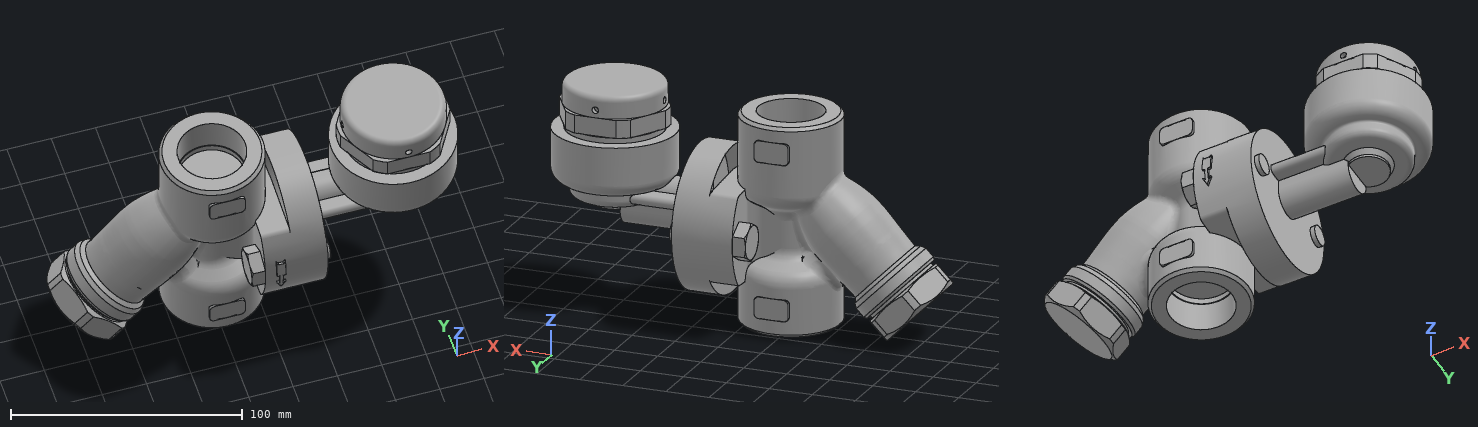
import cadquery as cq
import math

PIPE_R = 46.0 / 2
PIPE_TOP = 53.2
PIPE_BOTTOM = -43.1
PIPE_CHAMFER = 1.5
NECK_R = 11.4
NECK_HALF_HEIGHT = 6.5
SHOULDER_END = 20.9
SHOULDER_ANGLE = math.radians(30)
NECK_BLEND_R = 6.0
SHOULDER_R = 7.5

SOCKET_R = 15.0
SOCKET_DEPTH = 15.0
SEAT_R = 14.7
SEAT_DEPTH = 18.0

PAD_LENGTH = 16.0
PAD_HEIGHT = 9.9
PAD_CORNER_R = 2.2
PAD_FACE = 23.1
PAD_LEVELS = (41.3, -30.5)

FLANGE_R = 67.0 / 2
PLATE_FACE = 14.0
FLANGE_FACE = 27.0
FLANGE_BACK = 42.2
PLATE_RIDGE = 22.5
PLATE_EDGE_HEIGHT = 20.5
PLATE_EDGE_R = 3.0
WEB_BLEND_R = 5.1
WEB_HALF_HEIGHT = 16.5

BOLT_OFFSET = 25.5
BOLT_FLATS = 15.2
BOLT_HEAD_FACE = 7.9
BOLT_CHAMFER_WIDTH = 1.5
BOLT_CHAMFER_DEPTH = 0.7
BOLT_R = 9.5 / 2
BOLT_END = 44.4

ARROW_X = 20.9
ARROW_RELIEF = 1.1
ARROW_RELIEF_R = FLANGE_R + ARROW_RELIEF
ARROW_HALF_WIDTH = 2.0
ARROW_NOTCH_HALF_WIDTH = 1.1
ARROW_STEM_HALF_WIDTH = 0.7
ARROW_TOP = 8.3
ARROW_NOTCH_DEPTH = 1.0
ARROW_TAIL_END = 0.5
ARROW_STEM_TOP = 0.0
ARROW_STEM_BOTTOM = -5.1
ARROW_BARB = -4.4
ARROW_TIP = -8.3

BRANCH_Z = 29.0
BRANCH_PROFILE = cq.Plane(origin=(0, 0, BRANCH_Z), xDir=(-1, 0, 1), normal=(0, -1, 0))
BRANCH_SECTION = cq.Plane(origin=(0, 0, BRANCH_Z), xDir=(-1, 0, 1), normal=(-1, 0, -1))
BARREL_START = 14.7
BARREL_START_R = 12.1
BARREL_START_TANGENT = (0.45, 1)
BARREL_WIDEST = 36.1
BARREL_R = 36.0 / 2
BARREL_END = 52.6
BARREL_END_TANGENT = (-0.05, 1)
BRANCH_R = 35.0 / 2
BRANCH_NECK_R = 17.0
JOINT_R = 3.3

COLLAR_R = 40.0 / 2
COLLAR_START = 63.6
COLLAR_END = 72.0
COLLAR_STEP_LENGTH = 1.7
COLLAR_LEAD_WIDTH = 1.1
COLLAR_LEAD_LENGTH = 2.2
COLLAR_CHAMFER_WIDTH = 0.7
COLLAR_CHAMFER_LENGTH = 1.3

PLUG_NECK_R = 17.5
PLUG_FLATS = 38.1
PLUG_CORNER_R = 21.0
PLUG_FACE_R = 18.5
PLUG_START = 73.5
PLUG_END = 85.1
PLUG_BACK_CHAMFER = 1.3
PLUG_FRONT_CHAMFER = 2.0

TUBE_R = 8.3
TUBE_RISE = 7.3
TUBE_END = 76.3
CHANNEL_HALF_WIDTH = 15.2
CHANNEL_BOTTOM = 5.3
CHANNEL_TOP = 10.5

TRAP_X = 81.8
CUP_R = 56.0 / 2
CUP_TOP = 34.8
CUP_BOTTOM = 11.2
CUP_FILLET = 5.9
STEP_R = 40.0 / 2
STEP_BOTTOM = 3.9
STEP_FILLET = 3.3
STEP_JOINT_R = 1.1
SPIGOT_R = 9.5
SPIGOT_BOTTOM = 0.0
SPIGOT_FLARE_R = 11.2
SPIGOT_FLARE_HEIGHT = 2.5
CAP_R = 46.0 / 2
CAP_TOP = 56.7
CAP_FILLET = 3.0
CAP_NECK_R = 22.2
CAP_NECK_CHAMFER = 0.7
CAP_FLATS = 46.0
CAP_CORNER_R = 25.0
CAP_HEX_BOTTOM = 38.1
CAP_HEX_TOP = 46.4
VENT_R = 1.5
VENT_DEPTH = 2.8
VENT_Z = 49.9
VENT_COUNT = 4

TOLERANCE = 0.02


def cylinder_x(radius, start, end):
    """Cylinder along X between two stations, centred on Y = Z = 0."""
    return cq.Workplane("YZ", origin=(start, 0, 0)).circle(radius).extrude(end - start)


def cylinder_z(radius, bottom, top):
    """Cylinder along Z between two levels, centred on X = Y = 0."""
    return cq.Workplane("XY", origin=(0, 0, bottom)).circle(radius).extrude(top - bottom)


def hexagon(plane, flats, height):
    """Hexagonal prism with corners on the local X axis of the plane."""
    return cq.Workplane(plane).polygon(6, flats / math.cos(math.pi / 6)).extrude(height)


def pipe_half(end):
    """Upper half of the pipe: neck, blended conical shoulder and chamfered end."""
    end_angle = math.pi / 2 - SHOULDER_ANGLE
    mid_angle = end_angle / 2
    blend_x = NECK_R + NECK_BLEND_R
    round_x = PIPE_R - SHOULDER_R

    def blend_point(angle):
        return (blend_x - NECK_BLEND_R * math.cos(angle), NECK_HALF_HEIGHT + NECK_BLEND_R * math.sin(angle))

    def round_point(angle):
        return (round_x + SHOULDER_R * math.cos(angle), SHOULDER_END - SHOULDER_R * math.sin(angle))

    return (
        cq.Workplane("XZ")
        .lineTo(NECK_R, 0)
        .lineTo(NECK_R, NECK_HALF_HEIGHT)
        .threePointArc(blend_point(mid_angle), blend_point(end_angle))
        .lineTo(*round_point(end_angle))
        .threePointArc(round_point(mid_angle), (PIPE_R, SHOULDER_END))
        .lineTo(PIPE_R, end - PIPE_CHAMFER)
        .lineTo(PIPE_R - PIPE_CHAMFER, end)
        .lineTo(0, end)
        .close()
        .revolve(360, (0, 0, 0), (0, 1, 0))
    )


def pipe():
    upper = pipe_half(PIPE_TOP)
    lower = pipe_half(-PIPE_BOTTOM).mirror("XY")
    return upper.union(lower)


def pads():
    """Rounded rectangular pads on both sides of each pipe end."""
    body = cq.Workplane()
    for level in PAD_LEVELS:
        pad = (
            cq.Workplane("XY")
            .box(PAD_LENGTH, 2 * PAD_FACE, PAD_HEIGHT)
            .edges("|Y")
            .fillet(PAD_CORNER_R)
            .translate((0, 0, level))
        )
        body = body.add(pad)
    return body.combine()


def sockets():
    top = cylinder_z(SOCKET_R, PIPE_TOP - SOCKET_DEPTH, PIPE_TOP)
    top = top.union(cylinder_z(SEAT_R, PIPE_TOP - SEAT_DEPTH, PIPE_TOP))
    bottom = top.translate((0, 0, -PIPE_TOP)).mirror("XY").translate((0, 0, PIPE_BOTTOM))
    return top.union(bottom)


def revolve_on_branch(profile):
    """Revolve a closed (radius, distance) outline about the inclined branch axis."""
    return profile.close().revolve(360, (0, 0, 0), (0, 1, 0))


def branch():
    """Bulged barrel leaving the pipe, tapered neck and chamfered collar."""
    return revolve_on_branch(
        cq.Workplane(BRANCH_PROFILE)
        .moveTo(0, BARREL_START)
        .lineTo(BARREL_START_R, BARREL_START)
        .spline(
            [(BARREL_R, BARREL_WIDEST), (BRANCH_R, BARREL_END)],
            tangents=[BARREL_START_TANGENT, BARREL_END_TANGENT],
            includeCurrent=True,
        )
        .lineTo(BRANCH_NECK_R, COLLAR_START - COLLAR_STEP_LENGTH)
        .lineTo(COLLAR_R - COLLAR_LEAD_WIDTH, COLLAR_START)
        .lineTo(COLLAR_R, COLLAR_START + COLLAR_LEAD_LENGTH)
        .lineTo(COLLAR_R, COLLAR_END - COLLAR_CHAMFER_LENGTH)
        .lineTo(COLLAR_R - COLLAR_CHAMFER_WIDTH, COLLAR_END)
        .lineTo(PLUG_NECK_R, COLLAR_END)
        .lineTo(PLUG_NECK_R, PLUG_START)
        .lineTo(0, PLUG_START)
    )


def plug():
    """Hexagonal strainer plug with trimmed corners and chamfered faces."""
    envelope = revolve_on_branch(
        cq.Workplane(BRANCH_PROFILE)
        .moveTo(0, PLUG_START)
        .lineTo(PLUG_FACE_R, PLUG_START)
        .lineTo(PLUG_CORNER_R, PLUG_START + PLUG_BACK_CHAMFER)
        .lineTo(PLUG_CORNER_R, PLUG_END - PLUG_FRONT_CHAMFER)
        .lineTo(PLUG_FACE_R, PLUG_END)
        .lineTo(0, PLUG_END)
    )
    return hexagon(BRANCH_SECTION, PLUG_FLATS, PLUG_END).intersect(envelope)


def web():
    """Flat-sided web from the neck to the plate, flared where it meets the plate."""
    flare = PLATE_FACE - WEB_BLEND_R
    side = NECK_R + WEB_BLEND_R
    mid = WEB_BLEND_R * math.sqrt(0.5)
    return (
        cq.Workplane("XY", origin=(0, 0, -WEB_HALF_HEIGHT))
        .moveTo(0, NECK_R)
        .lineTo(flare, NECK_R)
        .threePointArc((flare + mid, side - mid), (PLATE_FACE, side))
        .lineTo(PLATE_FACE, -side)
        .threePointArc((flare + mid, mid - side), (flare, -NECK_R))
        .lineTo(0, -NECK_R)
        .close()
        .extrude(2 * WEB_HALF_HEIGHT)
    )


def plate():
    """Round plate cut off above and below by shallow roof-shaped faces."""
    half_width = FLANGE_R
    edge_y = math.sqrt(FLANGE_R**2 - PLATE_EDGE_HEIGHT**2)
    slope = (PLATE_RIDGE - PLATE_EDGE_HEIGHT) / edge_y
    eave = PLATE_RIDGE - slope * half_width
    outline = [(0, PLATE_RIDGE), (half_width, eave), (half_width, -eave),
               (0, -PLATE_RIDGE), (-half_width, -eave), (-half_width, eave)]
    roof = (
        cq.Workplane("YZ", origin=(PLATE_FACE, 0, 0))
        .polyline(outline)
        .close()
        .extrude(FLANGE_FACE - PLATE_FACE)
    )
    body = cylinder_x(FLANGE_R, PLATE_FACE, FLANGE_FACE).intersect(roof)
    roof_corners = (
        body.edges("|X")
        .filter(lambda edge: abs(edge.Center().y) > edge_y / 2)
        .filter(lambda edge: abs(edge.Center().z) > PLATE_EDGE_HEIGHT / 2)
    )
    return roof_corners.fillet(PLATE_EDGE_R)


def bolts():
    body = cq.Workplane()
    for side in (-1, 1):
        y = side * BOLT_OFFSET
        head_plane = cq.Plane(origin=(BOLT_HEAD_FACE, y, 0), xDir=(0, 0, 1), normal=(1, 0, 0))
        head = hexagon(head_plane, BOLT_FLATS, FLANGE_FACE - BOLT_HEAD_FACE)
        trim = cylinder_x(BOLT_FLATS / 2 + BOLT_CHAMFER_WIDTH, BOLT_HEAD_FACE, FLANGE_FACE)
        trim = trim.faces("<X").chamfer(BOLT_CHAMFER_DEPTH, BOLT_CHAMFER_WIDTH)
        body = body.add(head.intersect(trim.translate((0, y, 0))))
        body = body.add(cylinder_x(BOLT_R, FLANGE_FACE, BOLT_END).translate((0, y, 0)))
    return body.combine()


def arrow():
    """Downward flow arrow raised on the -Y rim of the plate."""
    half_outline = [
        (ARROW_NOTCH_HALF_WIDTH, ARROW_TOP - ARROW_NOTCH_DEPTH),
        (ARROW_HALF_WIDTH, ARROW_TOP),
        (ARROW_HALF_WIDTH, ARROW_TAIL_END),
        (ARROW_STEM_HALF_WIDTH, ARROW_STEM_TOP),
        (ARROW_STEM_HALF_WIDTH, ARROW_STEM_BOTTOM),
        (ARROW_HALF_WIDTH, ARROW_BARB),
    ]
    mirrored = [(-x, z) for x, z in reversed(half_outline)]
    prism = (
        cq.Workplane("XZ", origin=(ARROW_X, 0, 0))
        .polyline(half_outline + [(0, ARROW_TIP)] + mirrored)
        .close()
        .extrude(ARROW_RELIEF_R)
    )
    return prism.intersect(cylinder_x(ARROW_RELIEF_R, PLATE_FACE, FLANGE_FACE))


def connection():
    """Tall round-ended tube with a channel on each side, running from flange to trap."""
    length = TUBE_END - FLANGE_BACK
    tube = (
        cq.Workplane("YZ", origin=(FLANGE_BACK, 0, TUBE_RISE / 2))
        .slot2D(TUBE_RISE + 2 * TUBE_R, 2 * TUBE_R, 90)
        .extrude(length)
    )
    channels = (
        cq.Workplane("YZ", origin=(FLANGE_BACK, 0, (CHANNEL_BOTTOM + CHANNEL_TOP) / 2))
        .slot2D(2 * CHANNEL_HALF_WIDTH, CHANNEL_TOP - CHANNEL_BOTTOM)
        .extrude(length)
    )
    return tube.union(channels)


def trap():
    """Stepped trap body, hexagon and vented cap, stacked on one vertical axis."""
    cup = cylinder_z(CUP_R, CUP_BOTTOM, CUP_TOP).faces("<Z").edges().fillet(CUP_FILLET)
    step = cylinder_z(STEP_R, STEP_BOTTOM, CUP_TOP).faces("<Z").edges().fillet(STEP_FILLET)
    spigot = cylinder_z(SPIGOT_R, SPIGOT_BOTTOM, CUP_TOP)
    flare_base = cq.Vector(0, 0, STEP_BOTTOM - SPIGOT_FLARE_HEIGHT)
    flare = cq.Solid.makeCone(SPIGOT_R, SPIGOT_FLARE_R, SPIGOT_FLARE_HEIGHT, flare_base)
    body = cup.union(step)
    cup_joint = (
        body.edges("%CIRCLE")
        .filter(lambda edge: abs(edge.Center().z - CUP_BOTTOM) < TOLERANCE)
        .filter(lambda edge: abs(edge.radius() - STEP_R) < TOLERANCE)
    )
    body = cup_joint.fillet(STEP_JOINT_R).union(spigot).union(cq.Workplane(flare))
    neck = cylinder_z(CAP_NECK_R, CUP_TOP, CAP_HEX_BOTTOM)
    neck = neck.faces(">Z").chamfer(CAP_NECK_CHAMFER)
    hex_plane = cq.Plane(origin=(0, 0, CAP_HEX_BOTTOM))
    nut = hexagon(hex_plane, CAP_FLATS, CAP_HEX_TOP - CAP_HEX_BOTTOM)
    nut = nut.intersect(cylinder_z(CAP_CORNER_R, CAP_HEX_BOTTOM, CAP_HEX_TOP))
    cap = cylinder_z(CAP_R, CAP_HEX_TOP, CAP_TOP).faces(">Z").edges().fillet(CAP_FILLET)
    for index in range(VENT_COUNT):
        vent = cylinder_x(VENT_R, CAP_R - VENT_DEPTH, CAP_R).translate((0, 0, VENT_Z))
        cap = cap.cut(vent.rotate((0, 0, 0), (0, 0, 1), index * 360 / VENT_COUNT))
    return body.union(neck).union(nut).union(cap).translate((TRAP_X, 0, 0))


def filleted_body():
    """Pipe and branch with their visible joint filleted above the lower shoulder."""
    body = pipe().union(branch())
    joint = cq.selectors.BoxSelector((-PIPE_R, -PIPE_R, 0), (0, PIPE_R, PIPE_TOP))
    return body.edges("%BSPLINE").edges(joint).fillet(JOINT_R)


result = filleted_body()
result = result.union(web()).union(plate())
result = result.union(cylinder_x(FLANGE_R, FLANGE_FACE, FLANGE_BACK))
result = result.union(plug()).union(pads()).union(bolts()).union(arrow())
result = result.union(connection()).union(trap()).cut(sockets())